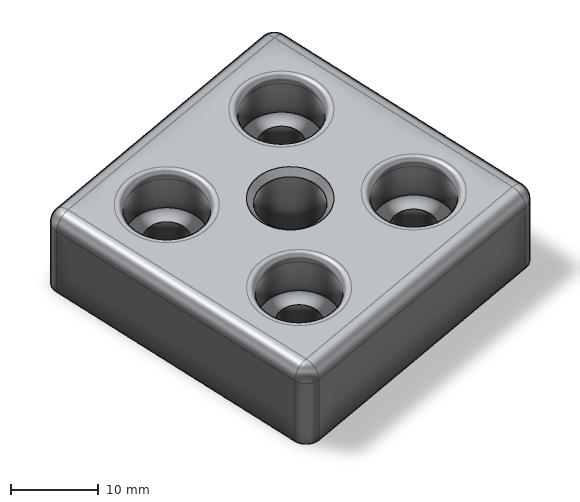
import cadquery as cq

side = 40.0
height = 12.0
edge_radius = 2.0

screw_spacing = side / 2
screw_hole_diameter = 5.5
counterbore_diameter = 10.0
counterbore_depth = 5.7
counterbore_rim_radius = 1.0

center_hole_diameter = 8.35
center_mouth_diameter = 10.0
center_chamfer = (center_mouth_diameter - center_hole_diameter) / 2


def make_block():
    block = cq.Workplane("XY").box(side, side, height, centered=(True, True, False))
    return block.edges("|Z").fillet(edge_radius).faces(">Z").edges().fillet(edge_radius)


def make_screw_cutter():
    """Revolved profile of a through hole, its counterbore and the rounded rim."""
    hole_radius = screw_hole_diameter / 2
    bore_radius = counterbore_diameter / 2
    floor_z = height - counterbore_depth
    return (
        cq.Workplane("XZ")
        .lineTo(hole_radius, 0)
        .lineTo(hole_radius, floor_z)
        .lineTo(bore_radius, floor_z)
        .lineTo(bore_radius, height - counterbore_rim_radius)
        .radiusArc((bore_radius + counterbore_rim_radius, height), counterbore_rim_radius)
        .lineTo(0, height)
        .close()
        .revolve(360, (0, 0, 0), (0, 1, 0))
    )


def make_center_cutter():
    """Revolved profile of the central hole and its chamfer."""
    return (
        cq.Workplane("XZ")
        .lineTo(center_hole_diameter / 2, 0)
        .lineTo(center_hole_diameter / 2, height - center_chamfer)
        .lineTo(center_mouth_diameter / 2, height)
        .lineTo(0, height)
        .close()
        .revolve(360, (0, 0, 0), (0, 1, 0))
    )


result = make_block().cut(make_center_cutter())
screw_cutter = make_screw_cutter()
for x in (-screw_spacing / 2, screw_spacing / 2):
    for y in (-screw_spacing / 2, screw_spacing / 2):
        result = result.cut(screw_cutter.translate((x, y, 0)))